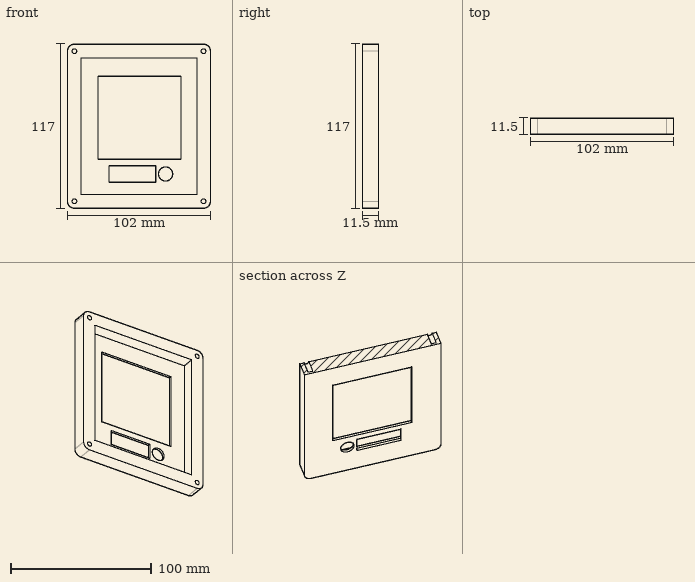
import cadquery as cq

width = 102.0
depth = 11.5
height = 117.0
corner_radius = 5.0

pocket_width = 82.5
pocket_height = 97.5
panel_thickness = 2.0

window_size = 59.0
window_x = 0.4
window_z = 6.0
slot_width = 33.0
slot_height = 11.7
slot_x = -4.7
slot_z = -34.0
button_diameter = 10.0
button_x = 19.0

screw_diameter = 3.4
screw_depth = 9.4
screw_x = width / 2 - corner_radius
screw_z = height / 2 - corner_radius


def block(x_size, z_size, length, x=0, z=0):
    """Rectangular block running from the open face (y = 0) towards +Y."""
    return cq.Workplane("XY").box(x_size, length, z_size, centered=(True, False, True)).translate((x, 0, z))


def cylinder(diameter, length, x, z):
    """Round cutter running from the open face (y = 0) towards +Y."""
    return cq.Workplane("XZ").center(x, z).circle(diameter / 2).extrude(-length)


result = block(width, height, depth).edges("|Y").fillet(corner_radius)
result = result.cut(block(pocket_width, pocket_height, depth - panel_thickness))

result = result.cut(block(window_size, window_size, depth, window_x, window_z))
result = result.cut(block(slot_width, slot_height, depth, slot_x, slot_z))
result = result.cut(cylinder(button_diameter, depth, button_x, slot_z))

for side_x in (-1, 1):
    for side_z in (-1, 1):
        result = result.cut(cylinder(screw_diameter, screw_depth, side_x * screw_x, side_z * screw_z))